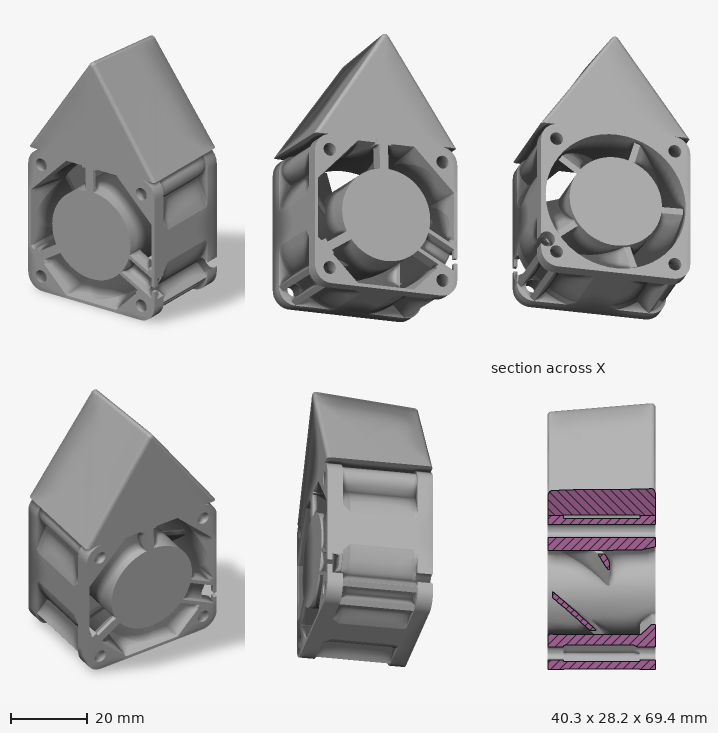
import cadquery as cq
import math

side = 40.3
depth = 28.2
flange = 4.15
corner_radius = 4.6
screw_pitch = 32.0
screw_diameter = 3.5

bore_radius = 18.95
inlet_half = 19.3
inlet_depth = 12.0
shell_radius = 20.7
front_flare_radius = 21.25
front_flare_length = 1.95
back_flare_radius = 20.9
back_flare_length = 0.8

post_width = 6.7
open_post_chamfer = 4.7

hub_diameter = 25.0
strut_width = 2.4
strut_shallow_depth = 1.05
strut_deep_depth = 4.1
strut_end_fillet = 2.0
strut_pad_margin = 1.05
first_strut_angle = 92.2
strut_count = 3

gutter_width = 7.0
gutter_wall = 1.0
gutter_floor_depth = 3.5
gutter_floor_fillet = 2.0
gutter_wall_draft = 0.4
gutter_end_draft = 0.7
wire_lip_depth = 1.4
wire_slit_width = 1.3
wire_slit_z = -10.4
wire_notch_radius = 2.1
wire_notch_x = 18.55
wire_notch_z = -12.7

blade_count = 5
blade_tip_radius = 18.5
blade_nose_thickness = 1.05
blade_thickness = 1.75
blade_bevel_depth = 0.5
blade_front_y = 12.0
blade_back_y = 27.1
blade_front_offset = 8.0
blade_front_angle = -90.0
blade_back_angle = -109.3
blade_root = 8.3
blade_reach = 20.1

roof_front_apex = 50.1
roof_back_apex = 47.7
roof_fillet = 1.0

half = side / 2
hub_radius = hub_diameter / 2
mid_depth = depth - 2 * flange
screw_offset = screw_pitch / 2
screw_distance = screw_offset * math.sqrt(2)
octagon_half_step = math.pi / 8


def plane_at(y):
    """Workplane square to the fan axis; local x is X and local y is Z."""
    return cq.Workplane("XZ", origin=(0, y, 0))


def disc(radius, y_start, y_end):
    return plane_at(y_start).circle(radius).extrude(y_start - y_end)


def cone(y_start, radius_start, y_end, radius_end):
    return plane_at(y_start).circle(radius_start).workplane(offset=y_start - y_end).circle(radius_end).loft()


def octagon(y, radius):
    """Octagon wire with flats parallel to X and Z."""
    angles = [(2 * i + 1) * octagon_half_step for i in range(8)]
    corners = [(radius * math.cos(a), radius * math.sin(a)) for a in angles]
    return plane_at(y).polyline(corners).close().wire().val()


def along(angle, shape):
    """Turn a shape built along +X to an angle about the fan axis."""
    return shape.rotate((0, 0, 0), (0, -1, 0), angle)


def flange_plate(y_start):
    plate = plane_at(y_start).rect(side, side).extrude(-flange)
    return plate.edges("|Y").fillet(corner_radius)


def tube():
    mid_end = depth - flange
    shell = disc(shell_radius, flange, mid_end)
    shell = shell.union(cone(flange, front_flare_radius, flange + front_flare_length, shell_radius))
    return shell.union(cone(mid_end - back_flare_length, shell_radius, mid_end, back_flare_radius))


def diagonal_bar(angle, start, end, width):
    bar = plane_at(flange).center((start + end) / 2, 0).rect(end - start, width).extrude(-mid_depth)
    return along(angle, bar)


def round_post(side_sign):
    """Top post: diagonal web to a round boss, with a flat top that runs inwards to the tube."""
    angle = 90 - side_sign * 45
    web = diagonal_bar(angle, 0, screw_distance, post_width)
    boss = plane_at(flange).center(side_sign * screw_offset, screw_offset).circle(post_width / 2)
    top = plane_at(flange).center(side_sign * screw_offset / 2, screw_offset + post_width / 4)
    top = top.rect(screw_offset, post_width / 2)
    return web.union(boss.extrude(-mid_depth)).union(top.extrude(-mid_depth))


def open_post(angle):
    """Bottom post: diagonal web cut off at 45 degrees, slotted from its end to the tube."""
    post_end = half * math.sqrt(2) - open_post_chamfer / math.sqrt(2)
    web = diagonal_bar(angle, 0, post_end, post_width)
    return web.cut(diagonal_bar(angle, shell_radius, post_end, screw_diameter))


def inlet():
    """Eight flat ramps that narrow until only the corners of the octagon reach the bore."""
    mouth = octagon(0, inlet_half / math.cos(octagon_half_step))
    throat = octagon(inlet_depth, bore_radius)
    return cq.Workplane(cq.Solid.makeLoft([mouth, throat], True)).union(disc(bore_radius, 0, depth))


def frame():
    middle = tube()
    for side_sign in (1, -1):
        middle = middle.union(round_post(side_sign))
    for angle in (225, 315):
        middle = middle.union(open_post(angle))
    middle = middle.intersect(plane_at(flange).rect(side, side).extrude(-mid_depth))
    body = middle.union(flange_plate(0)).union(flange_plate(depth - flange))
    screws = plane_at(0).rect(screw_pitch, screw_pitch, forConstruction=True).vertices()
    body = body.cut(screws.circle(screw_diameter / 2).extrude(-depth))
    return body.cut(inlet())


def inlet_pad(angle, width):
    """Filling of the inlet where a strut or the gutter joins the frame."""
    bar = plane_at(0).center(shell_radius / 2, 0).rect(shell_radius, width + 2 * strut_pad_margin)
    pad = along(angle, bar.extrude(-inlet_depth)).intersect(disc(shell_radius, 0, inlet_depth))
    pad = pad.intersect(plane_at(0).rect(side, side).extrude(-inlet_depth))
    return pad.cut(disc(bore_radius, 0, inlet_depth))


def strut(angle):
    start = math.sqrt(hub_radius**2 - (strut_width / 2) ** 2)
    end = (bore_radius + shell_radius) / 2
    bar = plane_at(0).center((start + end) / 2, 0).rect(end - start, strut_width).extrude(-strut_deep_depth)
    bar = bar.edges("<X and >Y").fillet(strut_end_fillet)
    section = [
        (0, -strut_width / 2),
        (0, strut_width / 2),
        (strut_deep_depth, strut_width / 2),
        (strut_shallow_depth, -strut_width / 2),
    ]
    return along(angle, bar.intersect(cq.Workplane("YZ").polyline(section).close().extrude(end)))


def gutter_block(angle):
    block = plane_at(0).center(shell_radius / 2, 0).rect(shell_radius, gutter_width)
    block = block.extrude(-(gutter_floor_depth + gutter_wall))
    return along(angle, block)


def gutter_channel(angle):
    channel_half = gutter_width / 2 - gutter_wall
    section = [
        (0, -channel_half),
        (0, channel_half),
        (gutter_floor_depth, channel_half - gutter_wall_draft),
        (gutter_floor_depth, -channel_half),
    ]
    channel = cq.Workplane("YZ").polyline(section).close().extrude(side)
    channel = channel.edges("|X and >Y and <Z").fillet(gutter_floor_fillet)
    outside_tube = plane_at(0).center(half, 0).rect(side, 2 * channel_half).extrude(-flange)
    outside_tube = outside_tube.cut(disc(shell_radius, 0, flange))
    hub_end = cone(0, hub_radius, gutter_floor_depth, hub_radius + gutter_end_draft)
    lip = plane_at(0).center(inlet_half + half, 0).rect(side, side).extrude(-wire_lip_depth)
    return along(angle, channel.union(outside_tube)).cut(hub_end).cut(lip)


def wire_exit():
    slit = plane_at(0).center(half, wire_slit_z).rect(2 * (half - inlet_half), wire_slit_width)
    notch = plane_at(depth - flange).center(wire_notch_x, wire_notch_z).circle(wire_notch_radius)
    return slit.extrude(-wire_lip_depth).union(notch.extrude(-flange))


def blade_section(y, angle, offset, thickness):
    """Straight bar at a distance from the axis, turned to an angle about it."""
    length = blade_reach - blade_root
    bar = plane_at(y).center(blade_root + length / 2, offset + thickness / 2).rect(length, thickness)
    return along(angle, bar).val()


def blade(angle):
    bevel = blade_thickness - blade_nose_thickness
    sections = [
        blade_section(blade_front_y, blade_front_angle, blade_front_offset, blade_nose_thickness),
        blade_section(
            blade_front_y + blade_bevel_depth, blade_front_angle, blade_front_offset - bevel, blade_thickness
        ),
        blade_section(blade_back_y, blade_back_angle, 0, blade_thickness),
    ]
    twisted = cq.Workplane(cq.Solid.makeLoft(sections, True))
    return along(angle, twisted.intersect(disc(blade_tip_radius, blade_front_y, blade_back_y)))


def make_fan():
    fan = frame()
    *strut_angles, gutter_angle = [first_strut_angle + i * 360 / strut_count for i in range(strut_count)]
    for angle in strut_angles:
        fan = fan.union(inlet_pad(angle, strut_width)).union(strut(angle))
    fan = fan.union(inlet_pad(gutter_angle, gutter_width)).union(gutter_block(gutter_angle))
    fan = fan.cut(gutter_channel(gutter_angle)).cut(wire_exit())
    fan = fan.union(disc(hub_radius, 0, depth))
    for i in range(blade_count):
        fan = fan.union(blade(i * 360 / blade_count))
    return fan


def make_roof():
    def gable(y, apex):
        return plane_at(y).polyline([(-half, half), (half, half), (0, apex)]).close().wire().val()

    roof = cq.Workplane(cq.Solid.makeLoft([gable(0, roof_front_apex), gable(depth, roof_back_apex)], True))
    base_edges = roof.faces("<Z").edges().vals()
    upper_edges = [edge for edge in roof.edges().vals() if not any(edge.isSame(b) for b in base_edges)]
    return roof.newObject(upper_edges).fillet(roof_fillet)


fan = make_fan()
roof = make_roof()

result = cq.Compound.makeCompound([fan.val(), roof.val()])